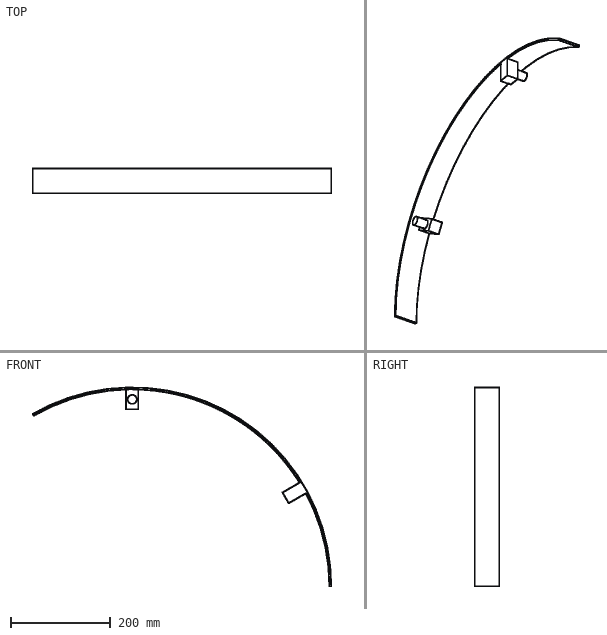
import cadquery as cq
import math

overall_length = 600
band_thickness = 4.0
band_width = 50.0
band_end_angle = 120
outer_radius = overall_length / (1 - math.cos(math.radians(band_end_angle)))

block_length = 40.0
block_width = 25.0
block_depth = band_width / 2
pin_diameter = 18.0
pin_length = band_width - block_depth
root_overlap = band_thickness / 2

inner_radius = outer_radius - band_thickness
half_width = band_width / 2


def polar_point(radius, angle):
    """Point in the XZ plane at a radius and an angle in degrees."""
    radians = math.radians(angle)
    return radius * math.cos(radians), radius * math.sin(radians)


def make_band():
    middle_angle = band_end_angle / 2
    return (
        cq.Workplane("XZ")
        .moveTo(*polar_point(outer_radius, 0))
        .threePointArc(polar_point(outer_radius, middle_angle), polar_point(outer_radius, band_end_angle))
        .lineTo(*polar_point(inner_radius, band_end_angle))
        .threePointArc(polar_point(inner_radius, middle_angle), polar_point(inner_radius, 0))
        .close()
        .extrude(half_width, both=True)
    )


def make_lug(angle, pin_direction):
    """Block and pin at a band angle; pin_direction is the sign of Y the pin points to."""
    block_start = inner_radius - block_length
    block = cq.Workplane("XY").box(
        block_length + root_overlap, block_depth, block_width, centered=(False, True, True)
    ).translate((block_start, -pin_direction * block_depth / 2, 0))
    pin = (
        cq.Workplane("XZ")
        .center(block_start + block_length / 2, 0)
        .circle(pin_diameter / 2)
        .extrude(-pin_direction * pin_length)
    )
    return block.union(pin).rotate((0, 0, 0), (0, 1, 0), -angle)


result = make_band()
for lug_angle, pin_side in ((90, -1), (30, 1)):
    result = result.union(make_lug(lug_angle, pin_side))